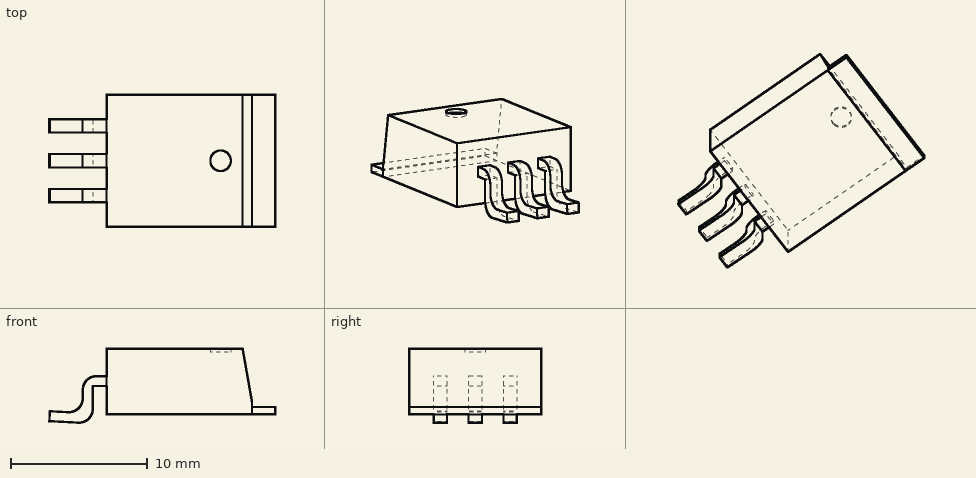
import cadquery as cq
import math


HOUSING_LENGTH = 10.64
HOUSING_WIDTH = 9.65
HOUSING_HEIGHT = 4.8
REAR_DRAFT_ANGLE = 10
REAR_TOP_SETBACK = 0.7

DIMPLE_DIAMETER = 1.5
DIMPLE_DEPTH = 0.25
DIMPLE_X = 8.33

LEAD_COUNT = 3
LEAD_PITCH = 2.55
LEAD_WIDTH = 0.99
LEAD_THICKNESS = 0.75
LEAD_TOP = 2.81
LEAD_REACH = 4.2
RISER_OUTER_X = -1.75
LEAD_BEND_RADIUS = 1.0
FOOT_ANGLE = 3
FOOT_TIP_BOTTOM = -0.5

TAB_LENGTH = 1.69
TAB_WIDTH = HOUSING_WIDTH
TAB_THICKNESS = 0.56


def extrude_across(outline, width, center_y=0):
    """Extrude an XZ outline symmetrically about the plane Y = center_y."""
    return cq.Workplane("XZ", origin=(0, center_y, 0)).polyline(outline).close().extrude(width / 2, both=True)


def make_lead(center_y):
    """Return one gull-wing lead, running from the housing wall down to its sloping foot."""
    slope = math.tan(math.radians(FOOT_ANGLE))
    riser_inner_x = RISER_OUTER_X + LEAD_THICKNESS
    tip_bottom = (-LEAD_REACH, FOOT_TIP_BOTTOM)
    tip_top = (
        tip_bottom[0] + LEAD_THICKNESS * math.sin(math.radians(FOOT_ANGLE)),
        tip_bottom[1] + LEAD_THICKNESS * math.cos(math.radians(FOOT_ANGLE)),
    )
    shoulder = (RISER_OUTER_X, LEAD_TOP)
    ankle = (RISER_OUTER_X, tip_top[1] - slope * (RISER_OUTER_X - tip_top[0]))
    heel = (riser_inner_x, tip_bottom[1] - slope * (riser_inner_x - tip_bottom[0]))
    outline = [
        (0, LEAD_TOP),
        shoulder,
        ankle,
        tip_top,
        tip_bottom,
        heel,
        (riser_inner_x, LEAD_TOP - LEAD_THICKNESS),
        (0, LEAD_TOP - LEAD_THICKNESS),
    ]
    lead = extrude_across(outline, LEAD_WIDTH, center_y)
    for x, z in (shoulder, ankle, heel):
        bend = cq.selectors.NearestToPointSelector((x, center_y, z))
        lead = lead.edges("|Y").edges(bend).fillet(LEAD_BEND_RADIUS)
    return lead


def make_housing():
    """Return the moulded block with its drafted rear wall, dimple and leads."""
    draft_height = REAR_TOP_SETBACK / math.tan(math.radians(REAR_DRAFT_ANGLE))
    housing = extrude_across(
        [
            (0, 0),
            (HOUSING_LENGTH, 0),
            (HOUSING_LENGTH, HOUSING_HEIGHT - draft_height),
            (HOUSING_LENGTH - REAR_TOP_SETBACK, HOUSING_HEIGHT),
            (0, HOUSING_HEIGHT),
        ],
        HOUSING_WIDTH,
    )
    dimple = (
        cq.Workplane("XY", origin=(DIMPLE_X, 0, HOUSING_HEIGHT - DIMPLE_DEPTH))
        .circle(DIMPLE_DIAMETER / 2)
        .extrude(DIMPLE_DEPTH)
    )
    housing = housing.cut(dimple)
    for index in range(LEAD_COUNT):
        center_y = (index - (LEAD_COUNT - 1) / 2) * LEAD_PITCH
        housing = housing.union(make_lead(center_y))
    return housing


def make_tab():
    """Return the flat tab butted against the rear wall of the housing, flush with its underside."""
    return cq.Workplane("XY", origin=(HOUSING_LENGTH, 0, 0)).box(
        TAB_LENGTH, TAB_WIDTH, TAB_THICKNESS, centered=(False, True, False)
    )


housing = make_housing()
tab = make_tab()

result = cq.Compound.makeCompound([housing.solids().val(), tab.val()])